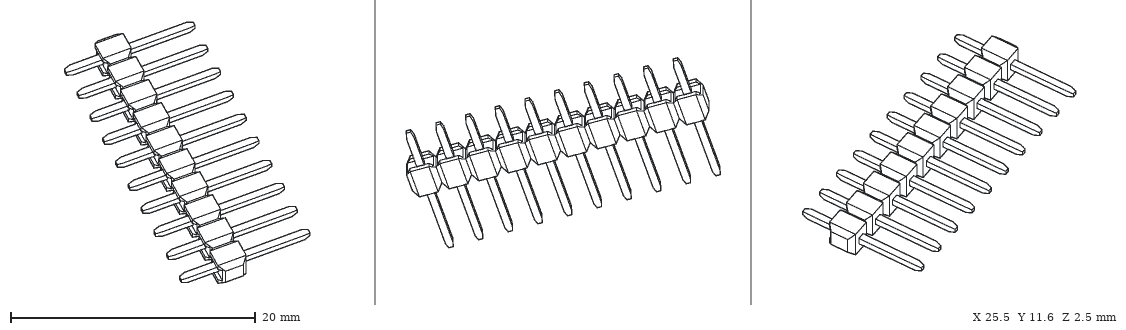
import cadquery as cq

pin_count = 10
pitch = 2.55

housing_depth = 2.55
housing_height = 2.5
joint_face_height = 1.55
slot_height = 1.45
slot_depth = 0.3

pin_width = 0.64
pin_front_length = 3.0
pin_back_length = 6.0
tip_length = 0.53
tip_width = 0.38

bevel = (housing_height - joint_face_height) / 2
row_length = pin_count * pitch
housing_front = -housing_depth / 2
housing_back = housing_depth / 2
pin_front = housing_front - pin_front_length
pin_back = housing_back + pin_back_length


def make_housing(x):
    """Block centred at x, with the four edges of each X face bevelled."""
    block = cq.Workplane("XY").box(pitch, housing_depth, housing_height)
    return block.faces("<X or >X").edges().chamfer(bevel).translate((x, 0, 0))


def make_slot():
    """Channel along the whole row, open towards -Y."""
    slot = cq.Workplane("XY").box(row_length, slot_depth, slot_height)
    return slot.translate((0, housing_front + slot_depth / 2, 0))


def make_tip(x, y_base, direction):
    """Tapered pin end growing from y_base; direction is +1 for +Y and -1 for -Y."""
    base = cq.Plane(origin=(x, y_base, 0), xDir=(1, 0, 0), normal=(0, direction, 0))
    return (
        cq.Workplane(base)
        .rect(pin_width, pin_width)
        .workplane(offset=tip_length)
        .rect(tip_width, tip_width)
        .loft(ruled=True, combine=True)
    )


def make_pin(x):
    """Straight square shaft with a tapered tip at each end."""
    shaft_front = pin_front + tip_length
    shaft_back = pin_back - tip_length
    shaft = cq.Workplane("XY").box(pin_width, shaft_back - shaft_front, pin_width)
    shaft = shaft.translate((x, (shaft_front + shaft_back) / 2, 0))
    return shaft.union(make_tip(x, shaft_front, -1)).union(make_tip(x, shaft_back, 1))


pin_places = [(i - (pin_count - 1) / 2) * pitch for i in range(pin_count)]

strip = make_housing(pin_places[0])
for x in pin_places[1:]:
    strip = strip.union(make_housing(x))

result = strip.cut(make_slot())
for x in pin_places:
    result = result.union(make_pin(x))